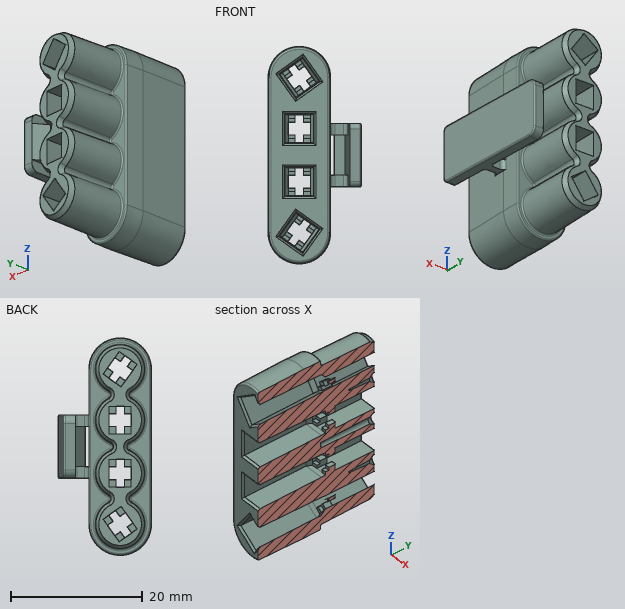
import cadquery as cq
import math


BODY_HEIGHT = 33.1
BODY_RADIUS = 4.75
PARTING_Y = 8.95
BODY_DEPTH = 12.35
BODY_DRAFT = 1.0
FRONT_ROUND = 0.3
BACK_ROUND = 0.23

BARREL_RADIUS = 3.85
WEB_FILLET = 0.53
INNER_Z = 4.05
OUTER_Z = BODY_HEIGHT / 2 - BODY_RADIUS
BARREL_CENTRES = [-OUTER_Z, -INNER_Z, INNER_Z, OUTER_Z]
BARREL_DRAFT = 0.8
BARREL_ROOT_FILLET = 0.23
TOTAL_DEPTH = 22.87
NOSE_LENGTH = 0.9
NOSE_INSET = 0.45
SELECT_MARGIN = 0.03

OUTER_TURN = 35.5
CAVITY_TURNS = [-OUTER_TURN, 0, 0, OUTER_TURN]
MOUTH_WIDTH = 5.1
MOUTH_HEIGHT = 5.15
MOUTH_CHAMFER = 0.3
MOUTH_CHAMFER_DEPTH = 0.4
SOCKET_SIDE = 4.3
FUNNEL_START_Y = 12.4
FUNNEL_END_Y = 13.25
BORE_WIDTH = 3.35
BORE_HEIGHT = 4.2

TAB_GAP_X = 1.25
TAB_GAP_Z = 1.92
STEP_GAP_Z = 3.05
TAB_THICKNESS = 1.32
STEP_THICKNESS = 0.65

LEVER_HEIGHT = 9.65
LEVER_THICKNESS = 1.8
LEVER_LENGTH = 21.35
LEVER_TILT = 2.4
LEVER_FRONT_X = 7.68
LEVER_FRONT_CORNER = 0.83
LEVER_BACK_CORNER = 1.3
LEVER_EDGE_ROUND = 0.25
ARM_BACK_Y = PARTING_Y
ARM_THICKNESS = 1.35
ARM_GAP = 6.1
ARM_EMBED = 0.15
FLARE_OVERLAP = 0.03
ARM_FILLET = 0.73
HOOK_TIP_X = 5.3
HOOK_CATCH_Y = 17.65
HOOK_TIP_LENGTH = 1.15


def section_plane(y):
    """Workplane across the part at depth y, facing +Y."""
    return cq.Workplane(cq.Plane(origin=(0, y, 0), xDir=(1, 0, 0), normal=(0, 1, 0)))


def make_body():
    """Front and back halves meeting at the parting plane, with rounded rims."""
    width = 2 * BODY_RADIUS
    front = (
        cq.Workplane("XZ", origin=(0, PARTING_Y, 0))
        .slot2D(BODY_HEIGHT, width, 90)
        .extrude(PARTING_Y, taper=BODY_DRAFT)
        .faces("<Y").edges().fillet(FRONT_ROUND)
    )
    back = (
        section_plane(PARTING_Y)
        .slot2D(BODY_HEIGHT, width, 90)
        .extrude(BODY_DEPTH - PARTING_Y, taper=BODY_DRAFT)
        .faces(">Y").edges().fillet(BACK_ROUND)
    )
    return front.union(back)


def barrel_outline(y, inset):
    """Four barrels side by side, blended by concave arcs, shrunk by inset."""
    radius = BARREL_RADIUS - inset
    blend = WEB_FILLET + inset
    right_side = []
    for low, high in zip(BARREL_CENTRES, BARREL_CENTRES[1:]):
        half_pitch = (high - low) / 2
        blend_x = math.sqrt((radius + blend) ** 2 - half_pitch ** 2)
        share = radius / (radius + blend)
        touch_x = blend_x * share
        right_side.append((
            (touch_x, low + half_pitch * share),
            (blend_x - blend, low + half_pitch),
            (touch_x, high - half_pitch * share),
        ))

    bottom = (0, BARREL_CENTRES[0] - radius)
    top = (0, BARREL_CENTRES[-1] + radius)
    left_side = [tuple((-x, z) for x, z in reversed(web)) for web in reversed(right_side)]

    outline = section_plane(y).moveTo(*right_side[0][0])
    for index, (start, middle, end) in enumerate(right_side):
        if index > 0:
            outline = outline.threePointArc((radius, BARREL_CENTRES[index]), start)
        outline = outline.threePointArc(middle, end)
    outline = outline.threePointArc(top, left_side[0][0])
    for index, (start, middle, end) in enumerate(left_side):
        if index > 0:
            outline = outline.threePointArc((-radius, BARREL_CENTRES[-1 - index]), start)
        outline = outline.threePointArc(middle, end)
    return outline.threePointArc(bottom, right_side[0][0]).close()


def make_barrels():
    """Drafted shanks ending in bevelled noses."""
    shank_length = TOTAL_DEPTH - NOSE_LENGTH - BODY_DEPTH
    shank_inset = shank_length * math.tan(math.radians(BARREL_DRAFT))
    nose_taper = math.degrees(math.atan(NOSE_INSET / NOSE_LENGTH))
    shank = barrel_outline(BODY_DEPTH, 0).extrude(shank_length, taper=BARREL_DRAFT)
    nose = barrel_outline(TOTAL_DEPTH - NOSE_LENGTH, shank_inset).extrude(NOSE_LENGTH, taper=nose_taper)
    return shank.union(nose)


def make_housing():
    """Body and barrels, with a small fillet where the barrels leave the body."""
    housing = make_body().union(make_barrels())
    reach_x = BARREL_RADIUS + BACK_ROUND
    root_edges = cq.selectors.BoxSelector(
        (-reach_x, BODY_DEPTH - SELECT_MARGIN, -BODY_HEIGHT),
        (reach_x, BODY_DEPTH + SELECT_MARGIN, BODY_HEIGHT),
        boundingbox=True,
    )
    return housing.edges(root_edges).fillet(BARREL_ROOT_FILLET)


def frustum(start_y, start_size, end_y, end_size):
    """Rectangular passage tapering from one depth to another."""
    return (
        section_plane(start_y)
        .rect(*start_size)
        .workplane(offset=end_y - start_y)
        .rect(*end_size)
        .loft(ruled=True)
    )


def corner_blocks(gap_x, gap_z, start_y, end_y):
    """What is left in the corners of the bore around a cross-shaped gap."""
    def bar(width, height):
        return section_plane(start_y).rect(width, height).extrude(end_y - start_y)

    blocks = bar(BORE_WIDTH, BORE_HEIGHT)
    return blocks.cut(bar(gap_x, BORE_HEIGHT)).cut(bar(BORE_WIDTH, gap_z))


def make_cavity():
    """Space for one contact, centred on the Y axis, with the stop tabs left standing."""
    mouth = (MOUTH_WIDTH, MOUTH_HEIGHT)
    throat = (MOUTH_WIDTH - 2 * MOUTH_CHAMFER, MOUTH_HEIGHT - 2 * MOUTH_CHAMFER)
    socket = (SOCKET_SIDE, SOCKET_SIDE)
    bore = (BORE_WIDTH, BORE_HEIGHT)
    cavity = (
        frustum(0, mouth, MOUTH_CHAMFER_DEPTH, throat)
        .union(frustum(MOUTH_CHAMFER_DEPTH, throat, FUNNEL_START_Y, socket))
        .union(frustum(FUNNEL_START_Y, socket, FUNNEL_END_Y, bore))
        .union(section_plane(FUNNEL_END_Y).rect(*bore).extrude(TOTAL_DEPTH - FUNNEL_END_Y))
    )
    tab_y = FUNNEL_END_Y + STEP_THICKNESS
    steps = corner_blocks(TAB_GAP_X, STEP_GAP_Z, FUNNEL_END_Y, tab_y)
    tabs = corner_blocks(TAB_GAP_X, TAB_GAP_Z, tab_y, tab_y + TAB_THICKNESS)
    return cavity.cut(steps).cut(tabs)


def make_lever():
    """Plate with rounded corners and outer rim, tilted so its far end leans to the body."""
    plate = (
        cq.Workplane("XY")
        .box(LEVER_THICKNESS, LEVER_LENGTH, LEVER_HEIGHT, centered=(False, False, True))
    )
    plate = plate.edges("|X and <Y").fillet(LEVER_FRONT_CORNER)
    plate = plate.edges("|X and >Y").fillet(LEVER_BACK_CORNER)
    plate = plate.faces(">X").edges().fillet(LEVER_EDGE_ROUND)
    plate = plate.rotate((0, 0, 0), (0, 0, 1), LEVER_TILT)
    return plate.translate((LEVER_FRONT_X, 0, 0))


def lever_inner_x(y):
    """X of the lever face that looks at the body, at depth y."""
    return LEVER_FRONT_X - y * math.tan(math.radians(LEVER_TILT))


def arm_flank(arm_y, direction):
    """Clear space beside the arms, rounded where it meets body and lever."""
    far_y = arm_y + direction * 2 * ARM_FILLET
    body_x = BODY_RADIUS - FLARE_OVERLAP
    near_lever = (lever_inner_x(arm_y) + FLARE_OVERLAP, arm_y)
    far_lever = (lever_inner_x(far_y) + FLARE_OVERLAP, far_y)
    space = (
        cq.Workplane("XY", origin=(0, 0, -LEVER_HEIGHT / 2))
        .polyline([(body_x, arm_y), near_lever, far_lever, (body_x, far_y)])
        .close()
        .extrude(LEVER_HEIGHT)
    )
    arm_side = "<Y" if direction > 0 else ">Y"
    return space.faces(arm_side).edges("|Z").fillet(ARM_FILLET)


def make_arms():
    """Two arms running from inside the body to inside the lever, flared at both ends."""
    arm_front_y = ARM_BACK_Y - ARM_THICKNESS
    start_x = BODY_RADIUS - ARM_EMBED
    end_x = LEVER_FRONT_X + ARM_EMBED
    middle_y = (arm_front_y + ARM_BACK_Y) / 2
    flared_width = ARM_THICKNESS + 2 * ARM_FILLET
    block = (
        cq.Workplane("XY", origin=(start_x, middle_y, 0))
        .box(end_x - start_x, flared_width, LEVER_HEIGHT, centered=(False, True, True))
    )
    gap = cq.Workplane("XY", origin=(end_x / 2, middle_y, 0)).box(end_x, flared_width, ARM_GAP)
    return block.cut(arm_flank(arm_front_y, -1)).cut(arm_flank(ARM_BACK_Y, 1)).cut(gap)


def make_hook():
    """Wedge with a flat catch, as wide as the gap between the arms."""
    apex_y = LEVER_LENGTH * math.cos(math.radians(LEVER_TILT))
    root_x = lever_inner_x(HOOK_CATCH_Y) + LEVER_THICKNESS / 2
    return (
        cq.Workplane("XY", origin=(0, 0, -ARM_GAP / 2))
        .moveTo(root_x, HOOK_CATCH_Y)
        .lineTo(HOOK_TIP_X, HOOK_CATCH_Y)
        .lineTo(HOOK_TIP_X, HOOK_CATCH_Y + HOOK_TIP_LENGTH)
        .lineTo(lever_inner_x(apex_y), apex_y)
        .close()
        .extrude(ARM_GAP)
    )


def make_latched_housing():
    return make_housing().union(make_lever()).union(make_arms()).union(make_hook())


result = make_latched_housing()
cavity = make_cavity()
for centre_z, turn in zip(BARREL_CENTRES, CAVITY_TURNS):
    turned = cavity.rotate((0, 0, 0), (0, 1, 0), -turn)
    result = result.cut(turned.translate((0, 0, centre_z)))